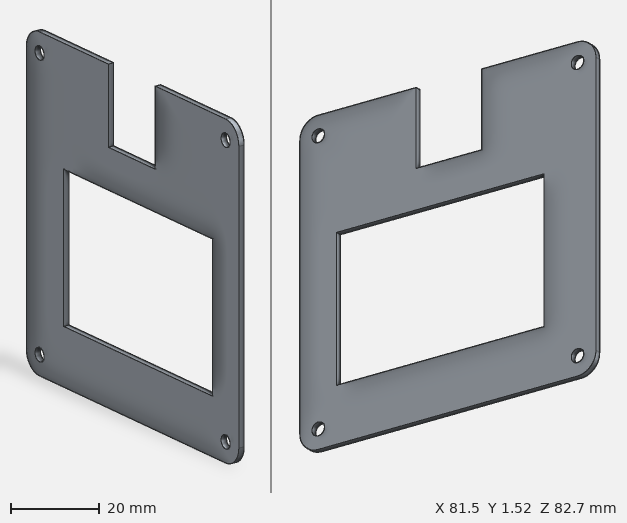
import cadquery as cq

PLATE_WIDTH = 81.47
PLATE_HEIGHT = 82.74
PLATE_THICKNESS = 1.524
CORNER_RADIUS = 5.08

SCREW_HOLE_DIAMETER = 3.4
SCREW_SPACING_X = PLATE_WIDTH - 2 * CORNER_RADIUS
SCREW_SPACING_Z = PLATE_HEIGHT - 2 * CORNER_RADIUS

NOTCH_WIDTH = 18.0
NOTCH_DEPTH = 20.0
NOTCH_CENTER_X = -0.3

WINDOW_WIDTH = 57.0
WINDOW_HEIGHT = 37.8
WINDOW_CENTER_X = 2.1
WINDOW_CENTER_Z = -7.85


def block(width, height, center_x=0, center_z=0):
    """Box through the plate thickness, placed by its centre in the XZ plane."""
    box = cq.Workplane("XY").box(width, PLATE_THICKNESS, height)
    return box.translate((center_x, 0, center_z))


def rounded_plate():
    return block(PLATE_WIDTH, PLATE_HEIGHT).edges("|Y").fillet(CORNER_RADIUS)


def screw_holes():
    return (
        cq.Workplane("XZ", origin=(0, PLATE_THICKNESS / 2, 0))
        .rect(SCREW_SPACING_X, SCREW_SPACING_Z, forConstruction=True)
        .vertices()
        .circle(SCREW_HOLE_DIAMETER / 2)
        .extrude(PLATE_THICKNESS)
    )


def top_notch():
    notch_center_z = PLATE_HEIGHT / 2 - NOTCH_DEPTH / 2
    return block(NOTCH_WIDTH, NOTCH_DEPTH, NOTCH_CENTER_X, notch_center_z)


def window():
    return block(WINDOW_WIDTH, WINDOW_HEIGHT, WINDOW_CENTER_X, WINDOW_CENTER_Z)


result = rounded_plate().cut(screw_holes()).cut(top_notch()).cut(window())